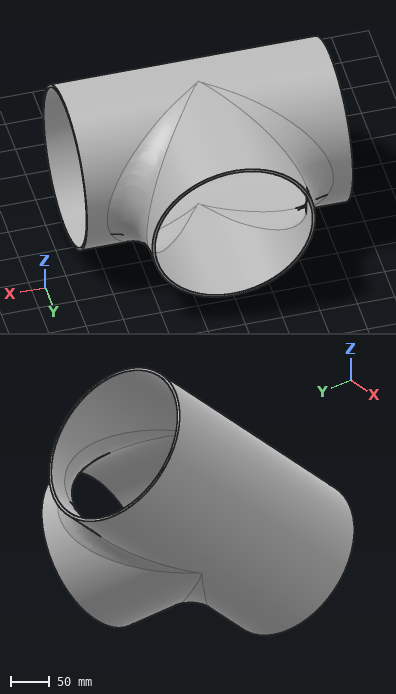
import cadquery as cq
import math

run_length = 356.0
branch_reach = 178.0
outer_diameter = 219.0
inner_diameter = 211.0
outer_crotch_radius = 43.8

outer_radius = outer_diameter / 2
inner_radius = inner_diameter / 2
wall = outer_radius - inner_radius
inner_crotch_radius = outer_crotch_radius + wall

blend_sections = 13
blend_end_angle = 88.0
blend_sink = 0.05


def blend_section(radius, crotch_radius, angle):
    """Closed outline of the +X crotch filler at height radius * sin(angle)."""
    shrink = math.cos(angle)
    height = radius * math.sin(angle)
    near = (radius - blend_sink) * shrink
    far = near + crotch_radius * shrink
    middle = far - crotch_radius * shrink * math.sqrt(0.5)
    return (
        cq.Workplane("XY", origin=(0, 0, height))
        .lineTo(near, far)
        .threePointArc((middle, middle), (far, near))
        .close()
        .val()
    )


def crotch_blend(radius, crotch_radius):
    """Filler between run and branch, its round scaled with the pipe's half width."""
    end = math.radians(blend_end_angle)
    step = 2 * end / (blend_sections - 1)
    angles = [-end + i * step for i in range(blend_sections)]
    outlines = [blend_section(radius, crotch_radius, angle) for angle in angles]
    return cq.Workplane(cq.Solid.makeLoft(outlines))


def solid_tee(radius, crotch_radius):
    """Filled tee: run, branch and the blends in both crotches."""
    run = cq.Workplane("YZ", origin=(-run_length / 2, 0, 0)).circle(radius).extrude(run_length)
    branch = cq.Workplane("XZ").circle(radius).extrude(-branch_reach)
    blend = crotch_blend(radius, crotch_radius)
    return run.union(branch).union(blend).union(blend.mirror("YZ"))


outside = solid_tee(outer_radius, outer_crotch_radius)
bore = solid_tee(inner_radius, inner_crotch_radius)
result = outside.cut(bore)